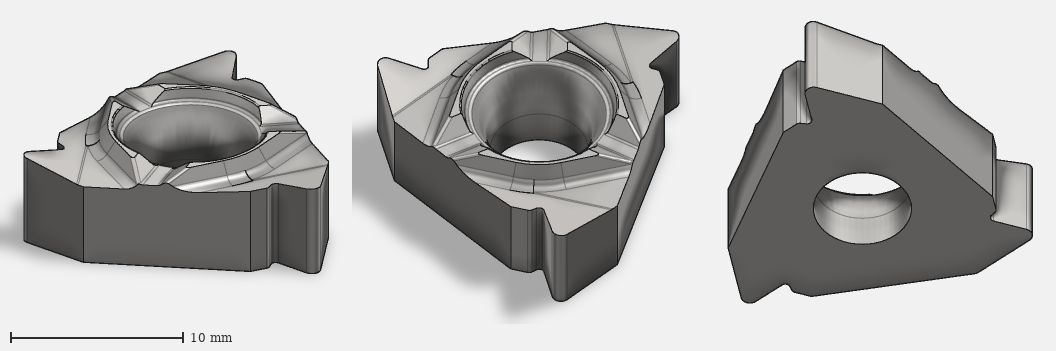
import cadquery as cq
import math

INSERT_HEIGHT = 6.05
EDGE_DISTANCE = 6.34
TOOTH_COUNT = 3
TOOTH_PITCH = 360 / TOOTH_COUNT

TIP_RADIUS = 0.52
TIP_REACH = 10.06
FLANK_Y = -1.56
UPPER_FLANK_NORMAL = 30
LONG_SIDE_NORMAL = 60

NOTCH_RADIUS = 0.28
SHOULDER_FILLET = 0.3
NOTCH_X = 7.13
NOTCH_WALL_ANGLE = -71
SHOULDER_DISTANCE = 7.605
SHOULDER_NORMAL = -30

FLOOR_Z = 4.99
RAKE_START = 5.91
RAKE_ANGLE = 10
RAKE_BEND_RADIUS = 0.6

BOSS_RADIUS = 4.82
BOSS_WALL_ANGLE = 54
BOSS_FOOT_RADIUS = 0.8
BOSS_SIDE_SKEW = 1.5
RAKE_SIDE_ARC = 13

SLOT_DIRECTION = 45
SLOT_OFFSET = 0.06
SLOT_FLOOR_Z = 5.33
SLOT_FLOOR_WIDTH = 1.0
SLOT_WALL_ANGLE = 33
SLOT_FLOOR_FILLET = 0.3
SLOT_EDGE_FILLET = 0.2
SLOT_EDGE_INNER = 5.5

HOLE_RADIUS = 5.7 / 2
SEAT_RADIUS = 3.99
SEAT_BOTTOM_Z = 2.2
SEAT_EDGE_FILLET = 0.25
RECESS_FLOOR_RADIUS = 4.28
RECESS_TOP_RADIUS = 4.55
RECESS_FLOOR_FILLET = 0.2
RECESS_RIM_FILLET = 0.1

OVERSIZE = 12.0
SAME_POINT = 1e-6


def polar(distance, angle, centre=(0, 0)):
    """Point at a distance and an angle in degrees from a centre."""
    radians = math.radians(angle)
    return (centre[0] + distance * math.cos(radians), centre[1] + distance * math.sin(radians))


def turned(point, angle):
    """Point turned about the hole axis."""
    radius = math.hypot(*point)
    return polar(radius, math.degrees(math.atan2(point[1], point[0])) + angle)


def crossing(point_a, angle_a, point_b, angle_b):
    """Crossing of two lines, each given by a point and a direction angle."""
    ax, ay = polar(1, angle_a)
    bx, by = polar(1, angle_b)
    dx = point_b[0] - point_a[0]
    dy = point_b[1] - point_a[1]
    along = (dx * by - dy * bx) / (ax * by - ay * bx)
    return (point_a[0] + along * ax, point_a[1] + along * ay)


def rounded_profile(plane, corners):
    """Closed outline through (point, radius) corners, each corner with a radius as an arc."""
    outline = None
    for index, (corner, radius) in enumerate(corners):
        before = corners[index - 1][0]
        after = corners[(index + 1) % len(corners)][0]
        angle_in = math.degrees(math.atan2(before[1] - corner[1], before[0] - corner[0]))
        angle_out = math.degrees(math.atan2(after[1] - corner[1], after[0] - corner[0]))
        opening = (angle_out - angle_in + 180) % 360 - 180
        half = math.radians(abs(opening) / 2)
        tangent = radius / math.tan(half)
        start = polar(tangent, angle_in, corner)
        if outline is None:
            outline = cq.Workplane(plane).moveTo(*start)
        elif math.dist(end, start) > SAME_POINT:
            outline = outline.lineTo(*start)
        end = polar(tangent, angle_out, corner)
        if radius > 0:
            middle = polar(radius / math.sin(half) - radius, angle_in + opening / 2, corner)
            outline = outline.threePointArc(middle, end)
    return outline.close()


def turn_body(shape, angle):
    """Body turned about the hole axis."""
    return shape.rotate((0, 0, 0), (0, 0, 1), angle)


def around_axis(shape):
    """Union of the shape repeated once for every tooth."""
    combined = shape
    for index in range(1, TOOTH_COUNT):
        combined = combined.union(turn_body(shape, index * TOOTH_PITCH))
    return combined


def make_outline():
    """Closed plan outline, one tooth after another, counterclockwise."""
    flank = (NOTCH_X, FLANK_Y)
    tip_centre = (TIP_REACH - TIP_RADIUS, FLANK_Y + TIP_RADIUS)
    upper_flank = polar(TIP_RADIUS, UPPER_FLANK_NORMAL, tip_centre)
    upper_flank_angle = UPPER_FLANK_NORMAL + 90
    tip = crossing(flank, 0, upper_flank, upper_flank_angle)
    long_side = polar(EDGE_DISTANCE, LONG_SIDE_NORMAL)
    heel = crossing(upper_flank, upper_flank_angle, long_side, LONG_SIDE_NORMAL + 90)

    shoulder = polar(SHOULDER_DISTANCE, SHOULDER_NORMAL)
    shoulder_angle = SHOULDER_NORMAL + 90
    shoulder_outer = crossing(shoulder, shoulder_angle, flank, NOTCH_WALL_ANGLE)
    lower_normal = LONG_SIDE_NORMAL - TOOTH_PITCH
    lower_side = polar(EDGE_DISTANCE, lower_normal)
    shoulder_inner = crossing(shoulder, shoulder_angle, lower_side, lower_normal + 90)

    tooth = [
        (shoulder_inner, 0),
        (shoulder_outer, SHOULDER_FILLET),
        (flank, NOTCH_RADIUS),
        (tip, TIP_RADIUS),
        (heel, 0),
    ]
    corners = []
    for index in range(TOOTH_COUNT):
        corners += [(turned(point, index * TOOTH_PITCH), radius) for point, radius in tooth]
    return rounded_profile("XY", corners)


def rake_height(distance):
    """Height of the rake face at a distance from the axis, along the tooth."""
    return FLOOR_Z + (distance - RAKE_START) * math.tan(math.radians(RAKE_ANGLE))


def make_rake_wedge():
    """Wedge over the tooth on the +Y side, its top rising away from the axis."""
    corners = [
        ((BOSS_RADIUS, 0), 0),
        ((BOSS_RADIUS, FLOOR_Z), 0),
        ((RAKE_START, FLOOR_Z), RAKE_BEND_RADIUS),
        ((OVERSIZE, rake_height(OVERSIZE)), 0),
        ((OVERSIZE, 0), 0),
    ]
    return rounded_profile("YZ", corners).extrude(OVERSIZE, both=True)


def boss_section(plane, on_rake=False):
    """Half section of the boss, its rounded foot running into the floor or the rake face."""
    wall_angle = -BOSS_WALL_ANGLE
    rim = (BOSS_RADIUS, INSERT_HEIGHT)
    ground_angle = RAKE_ANGLE if on_rake else 0
    foot = crossing(rim, wall_angle, (RAKE_START, FLOOR_Z), ground_angle)
    turn = math.radians(BOSS_WALL_ANGLE + ground_angle)
    foot_end = polar(BOSS_FOOT_RADIUS * math.tan(turn / 2), ground_angle, foot)
    corners = [
        ((0, 0), 0),
        ((0, INSERT_HEIGHT), 0),
        (rim, 0),
        (foot, BOSS_FOOT_RADIUS),
        (foot_end, 0),
        ((foot_end[0], 0), 0),
    ]
    return rounded_profile(plane, corners)


def make_boss():
    """Round boss with three corners, each between two sides tangent to the round wall."""
    axis = ((0, 0), (0, 1))
    round_boss = boss_section("XZ").revolve(360, *axis)
    rake_arc = boss_section("YZ", on_rake=True).revolve(RAKE_SIDE_ARC, *axis)
    rake_side = boss_section("YZ", on_rake=True).extrude(OVERSIZE)
    floor_side = turn_body(boss_section("XZ").extrude(-OVERSIZE), BOSS_SIDE_SKEW)
    corner = rake_side.intersect(floor_side)
    return around_axis(corner.union(rake_arc)).union(round_boss)


def make_slot():
    """Open slot with sloped walls, running outward through the boss corner."""
    half_floor = SLOT_FLOOR_WIDTH / 2
    half_top = half_floor + (INSERT_HEIGHT - SLOT_FLOOR_Z) / math.tan(math.radians(SLOT_WALL_ANGLE))
    corners = [
        ((SLOT_OFFSET - half_top, INSERT_HEIGHT), 0),
        ((SLOT_OFFSET - half_floor, SLOT_FLOOR_Z), SLOT_FLOOR_FILLET),
        ((SLOT_OFFSET + half_floor, SLOT_FLOOR_Z), SLOT_FLOOR_FILLET),
        ((SLOT_OFFSET + half_top, INSERT_HEIGHT), 0),
    ]
    return turn_body(rounded_profile("YZ", corners).extrude(OVERSIZE), SLOT_DIRECTION)


def make_recess():
    """Conical recess in the boss, rounded at its floor."""
    corners = [
        ((0, SLOT_FLOOR_Z), 0),
        ((RECESS_FLOOR_RADIUS, SLOT_FLOOR_Z), RECESS_FLOOR_FILLET),
        ((RECESS_TOP_RADIUS, INSERT_HEIGHT), 0),
        ((0, INSERT_HEIGHT), 0),
    ]
    return rounded_profile("XZ", corners).revolve(360, (0, 0), (0, 1))


def make_hole():
    """Through hole with a curved screw seat that flares up to the recess floor."""
    depth = SLOT_FLOOR_Z - SEAT_BOTTOM_Z
    width = SEAT_RADIUS - HOLE_RADIUS
    curve_radius = (depth**2 + width**2) / (2 * width)
    curve_angle = math.degrees(math.asin(depth / curve_radius))
    curve_centre = (HOLE_RADIUS + curve_radius, SEAT_BOTTOM_Z)
    curve_middle = polar(curve_radius, 180 - curve_angle / 2, curve_centre)
    return (
        cq.Workplane("XZ")
        .lineTo(HOLE_RADIUS, 0)
        .lineTo(HOLE_RADIUS, SEAT_BOTTOM_Z)
        .threePointArc(curve_middle, (SEAT_RADIUS, SLOT_FLOOR_Z))
        .lineTo(0, SLOT_FLOOR_Z)
        .close()
        .revolve(360, (0, 0), (0, 1))
    )


def middle_distance(edge):
    """Distance of the middle of an edge from the hole axis."""
    middle = edge.positionAt(0.5)
    return math.hypot(middle.x, middle.y)


def rise(edge):
    """Height difference between the ends of an edge."""
    return abs(edge.endPoint().z - edge.startPoint().z)


def is_recess_rim(edge):
    """Round edge between the recess wall and the top of the boss."""
    in_recess = RECESS_FLOOR_RADIUS < middle_distance(edge) < RECESS_TOP_RADIUS + SAME_POINT
    at_top = edge.positionAt(0.5).z > INSERT_HEIGHT - SAME_POINT
    return in_recess and at_top and edge.geomType() == "CIRCLE"


def is_slot_edge(edge):
    """Edge where a slot wall meets the outer wall of the boss."""
    from_top = max(edge.startPoint().z, edge.endPoint().z) > INSERT_HEIGHT - SAME_POINT
    return from_top and rise(edge) > SAME_POINT and middle_distance(edge) > SLOT_EDGE_INNER


def is_seat_edge(edge):
    """Edge between the screw seat and the recess floor."""
    at_floor = abs(edge.positionAt(0.5).z - SLOT_FLOOR_Z) < SAME_POINT
    return at_floor and middle_distance(edge) < SEAT_RADIUS + SAME_POINT


def fillet_where(body, test, radius):
    """Body with every edge that passes the test rounded."""
    return body.newObject([edge for edge in body.edges().vals() if test(edge)]).fillet(radius)


blank = make_outline().extrude(INSERT_HEIGHT)
floor_block = cq.Workplane("XY").circle(OVERSIZE).extrude(FLOOR_Z)
top_form = floor_block.union(around_axis(make_rake_wedge())).union(make_boss())
body = blank.intersect(top_form)
body = body.cut(around_axis(make_slot())).cut(make_recess()).cut(make_hole())
body = fillet_where(body, is_slot_edge, SLOT_EDGE_FILLET)
body = fillet_where(body, is_recess_rim, RECESS_RIM_FILLET)
result = fillet_where(body, is_seat_edge, SEAT_EDGE_FILLET)